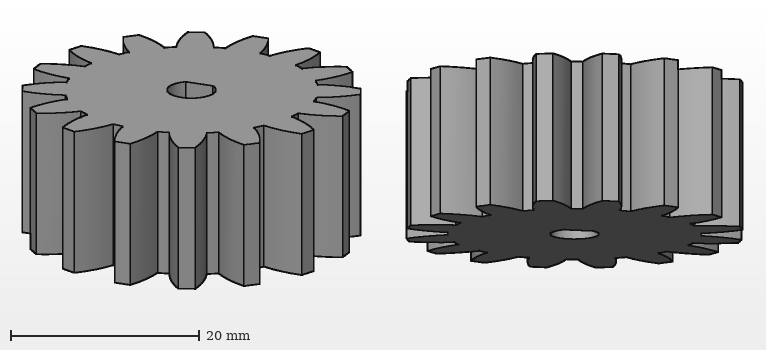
import cadquery as cq
import math

outer_size = 36.0
face_width = 16.0
tooth_count = 16
root_radius = 13.5

tip_height = outer_size / 2
tip_half_width = 0.9
mid_flank_height = 16.0
mid_flank_half_width = 1.62
root_half_width = 2.0
root_height = math.sqrt(root_radius**2 - root_half_width**2)

bore_radius = 2.6
bore_flat_height = 2.05


def make_tooth(angle):
    """Flat-tipped tooth with curved flanks, rooted at the gear centre."""
    return (
        cq.Workplane("XY")
        .moveTo(0, 0)
        .lineTo(root_half_width, root_height)
        .threePointArc((mid_flank_half_width, mid_flank_height), (tip_half_width, tip_height))
        .lineTo(-tip_half_width, tip_height)
        .threePointArc((-mid_flank_half_width, mid_flank_height), (-root_half_width, root_height))
        .close()
        .extrude(face_width)
        .rotate((0, 0, 0), (0, 0, 1), angle)
    )


def make_bore():
    """Round shaft hole with a flat on its +Y side."""
    flat_half_width = math.sqrt(bore_radius**2 - bore_flat_height**2)
    return (
        cq.Workplane("XY")
        .moveTo(-flat_half_width, bore_flat_height)
        .threePointArc((0, -bore_radius), (flat_half_width, bore_flat_height))
        .close()
        .extrude(face_width)
    )


gear = cq.Workplane("XY").circle(root_radius).extrude(face_width)
for tooth_index in range(tooth_count):
    gear = gear.union(make_tooth(tooth_index * 360 / tooth_count))

result = gear.cut(make_bore()).clean()